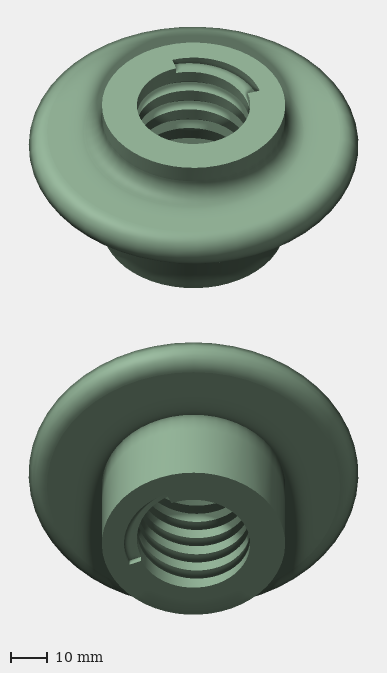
import cadquery as cq

flange_diameter = 90.0
height = 45.0
hub_diameter = 50.0
flange_bottom = 25.0
flange_thickness = 10.0

bore_diameter = 31.0
thread_diameter = 38.0
thread_turn_angle = 2314.3
thread_pitch = height * 360 / thread_turn_angle
groove_width = thread_pitch / 2
bore_overlap = 0.45

flange_radius = flange_diameter / 2
hub_radius = hub_diameter / 2
bore_radius = bore_diameter / 2
rim_radius = flange_thickness / 2
neck_fillet = rim_radius
flange_top = flange_bottom + flange_thickness
rim_middle = flange_bottom + rim_radius


def turned_body():
    """Hub with a full-round flange and a concave fillet above it, before boring."""
    profile = (
        cq.Workplane("XZ")
        .moveTo(0, 0)
        .lineTo(hub_radius, 0)
        .lineTo(hub_radius, flange_bottom)
        .lineTo(flange_radius - rim_radius, flange_bottom)
        .threePointArc((flange_radius, rim_middle), (flange_radius - rim_radius, flange_top))
        .lineTo(hub_radius + neck_fillet, flange_top)
        .radiusArc((hub_radius, flange_top + neck_fillet), neck_fillet)
        .lineTo(hub_radius, height)
        .lineTo(0, height)
        .close()
    )
    return profile.revolve(360, (0, 0, 0), (0, 1, 0))


def thread_groove():
    """Right-hand square groove that starts on +X at the bottom face and ends at the top face."""
    path = cq.Wire.makeHelix(thread_pitch, height, bore_radius)
    inner_radius = bore_radius - bore_overlap
    groove_depth = thread_diameter / 2 - inner_radius
    section = cq.Workplane("XZ").center(inner_radius + groove_depth / 2, 0).rect(groove_depth, groove_width)
    return section.sweep(cq.Workplane(path), isFrenet=True)


def bore():
    return cq.Workplane("XY").circle(bore_radius).extrude(height)


result = turned_body().cut(thread_groove()).cut(bore())